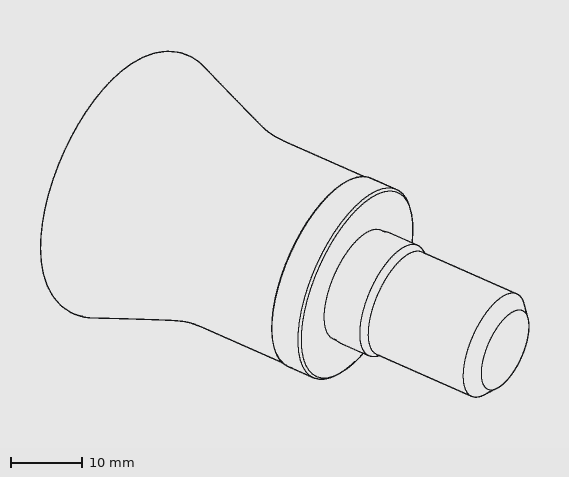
import cadquery as cq
import math


head_radius = 19.89
rim_radius = 3.8
recess_radius = 12.85

flare_angle = math.radians(20)
neck_blend_radius = 15.1
body_radius = 28.6 / 2

collar_radius = 29.0 / 2
collar_start = 37.1
collar_end = 42.0
collar_chamfer = 0.35
collar_front_chamfer = 0.17

shank_end = 67.05
shank_radius = 15.8 / 2
shank_chamfer = 1.85
land_radius = 17 / 2
land_start = 43.4
land_end = 48.15
land_taper_length = 1.0
relief_radius = 8.35
relief_end = 42.6

ridge_radius = 4.9
ridge_center_x = 3.95
ridge_center_y = 16.08
ridge_center_z = -1.8
ridge_slope = 0.04
ridge_depth = 1.7


def make_knob():
    """Revolve the rim, flare, body, collar and shank in one profile."""
    rim_center = head_radius - rim_radius
    floor_offset = rim_center - recess_radius
    floor_x = rim_radius - math.sqrt(rim_radius**2 - floor_offset**2)

    flare_start_x = rim_radius * (1 + math.sin(flare_angle))
    flare_start_r = rim_center + rim_radius * math.cos(flare_angle)
    flare_end_r = body_radius + neck_blend_radius * (1 - math.cos(flare_angle))
    flare_end_x = flare_start_x + (flare_start_r - flare_end_r) / math.tan(flare_angle)
    blend_end_x = flare_end_x + neck_blend_radius * math.sin(flare_angle)
    half_angle = flare_angle / 2
    blend_mid = (
        blend_end_x - neck_blend_radius * math.sin(half_angle),
        body_radius + neck_blend_radius * (1 - math.cos(half_angle)),
    )

    profile = (
        cq.Workplane("XZ")
        .moveTo(floor_x, 0)
        .lineTo(floor_x, recess_radius)
        .threePointArc((0, rim_center), (flare_start_x, flare_start_r))
        .lineTo(flare_end_x, flare_end_r)
        .threePointArc(blend_mid, (blend_end_x, body_radius))
        .lineTo(collar_start, body_radius)
        .lineTo(collar_start + collar_front_chamfer, collar_radius)
        .lineTo(collar_end - collar_chamfer, collar_radius)
        .lineTo(collar_end, collar_radius - collar_chamfer)
        .lineTo(collar_end, relief_radius)
        .lineTo(relief_end, relief_radius)
        .lineTo(land_start, land_radius)
        .lineTo(land_end, land_radius)
        .lineTo(land_end + land_taper_length, shank_radius)
        .lineTo(shank_end - shank_chamfer, shank_radius)
        .lineTo(shank_end, shank_radius - shank_chamfer)
        .lineTo(shank_end, 0)
        .close()
    )
    return profile.revolve(360, (0, 0, 0), (1, 0, 0))


def make_ridge():
    """Revolve a right-angled V section whose tip lies on the ridge circle."""
    plane = cq.Plane(
        origin=(ridge_center_x, ridge_center_y, ridge_center_z),
        xDir=(1, 0, 0),
        normal=(0, -1, -ridge_slope),
    )
    root_radius = ridge_radius - ridge_depth
    return (
        cq.Workplane(plane)
        .moveTo(ridge_radius, 0)
        .lineTo(root_radius, ridge_depth)
        .lineTo(root_radius, -ridge_depth)
        .close()
        .revolve(360, (0, 0, 0), (0, 1, 0))
    )


result = make_knob().union(make_ridge())